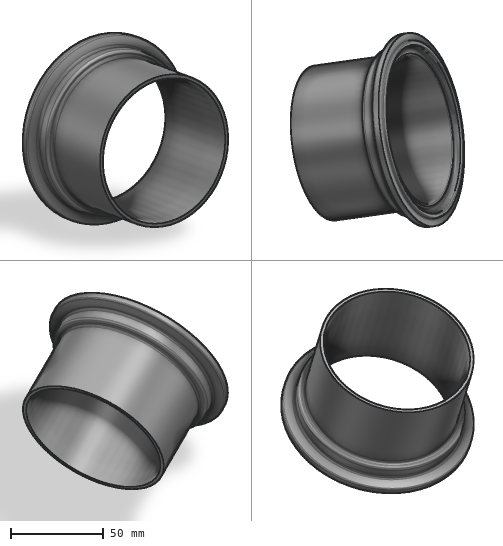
import cadquery as cq
import math

length = 60.0
flange_radius = 106 / 2
lip_radius = 97.6 / 2
collar_radius = 93.0 / 2
tube_radius = 85.0 / 2
bore_radius = 81.0 / 2

flange_front = 1.7
flange_back = 5.5
collar_end = 15.4

cone_angle = math.radians(17)
cone_end = flange_back + (flange_radius - collar_radius) * math.tan(cone_angle)

groove_outer_radius = 45.6
groove_inner_radius = 41.8
groove_bottom = 4.2
inner_lip_front = 2.8

lip_round = 0.6
lip_root_round = 0.4
flange_back_round = 0.8
cone_root_round = 1.7
collar_round = 1.7
tube_root_round = 1.7
groove_edge_round = 0.5
bore_edge_round = 0.6


def make_body():
    """Stepped ring: sealing lip, clamp flange, collar, weld tube and gasket groove."""
    groove_middle_radius = (groove_outer_radius + groove_inner_radius) / 2
    profile = (
        cq.Workplane("XY")
        .moveTo(inner_lip_front, bore_radius)
        .lineTo(inner_lip_front, groove_inner_radius)
        .threePointArc((groove_bottom, groove_middle_radius), (0, groove_outer_radius))
        .lineTo(0, lip_radius)
        .lineTo(flange_front, lip_radius)
        .lineTo(flange_front, flange_radius)
        .lineTo(flange_back, flange_radius)
        .lineTo(cone_end, collar_radius)
        .lineTo(collar_end, collar_radius)
        .lineTo(collar_end, tube_radius)
        .lineTo(length, tube_radius)
        .lineTo(length, bore_radius)
        .close()
    )
    return profile.revolve(360, (0, 0, 0), (1, 0, 0))


def round_circle(body, position, radius, size):
    """Round the circular edge at the given axial position and radius."""
    margin = 0.05
    found = [
        edge
        for edge in body.edges("%CIRCLE").vals()
        if abs(edge.Center().x - position) < margin and abs(edge.radius() - radius) < margin
    ]
    return body.newObject(found).fillet(size)


result = make_body()
for position, radius, size in [
    (0, lip_radius, lip_round),
    (flange_front, lip_radius, lip_root_round),
    (flange_back, flange_radius, flange_back_round),
    (cone_end, collar_radius, cone_root_round),
    (collar_end, collar_radius, collar_round),
    (collar_end, tube_radius, tube_root_round),
    (0, groove_outer_radius, groove_edge_round),
    (inner_lip_front, groove_inner_radius, groove_edge_round),
    (inner_lip_front, bore_radius, bore_edge_round),
]:
    result = round_circle(result, position, radius, size)